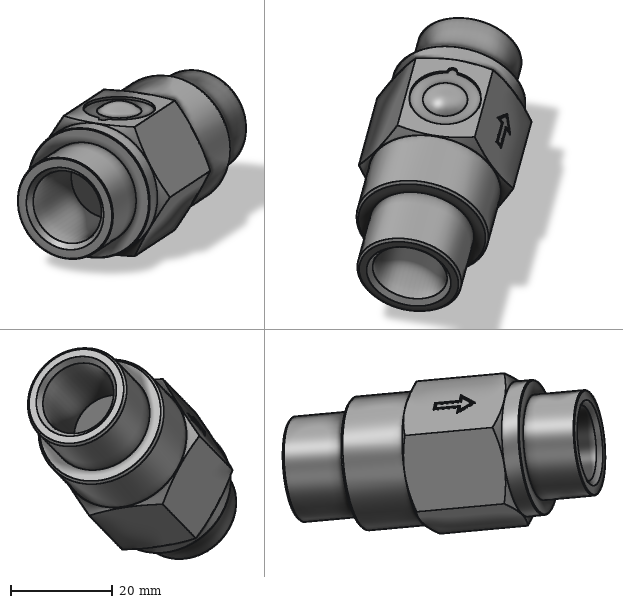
import cadquery as cq
import math

TOTAL_LENGTH = 60.5
FRONT_END = -TOTAL_LENGTH / 2
BACK_END = TOTAL_LENGTH / 2

COLLAR_FRONT = -19.7
HEX_FRONT = -16.2
HEX_BACK = 4.5
BODY_BACK = 17.25
HEX_MIDDLE = (HEX_FRONT + HEX_BACK) / 2

HEX_FLATS = 27.0
HALF_SECTOR = math.radians(360 / 6 / 2)
HEX_CORNERS = HEX_FLATS / math.cos(HALF_SECTOR)
HEX_END_DIAMETER = 26.75
HEX_CHAMFER_ANGLE = math.radians(30)
COLLAR_DIAMETER = 26.85
BODY_DIAMETER = 26.6
TUBE_DIAMETER = 21.0
FRONT_EDGE_CHAMFER = 0.2
BACK_EDGE_CHAMFER = 0.5

BORE_DIAMETER = 15.0
BORE_MOUTH_DIAMETER = 17.0
BORE_MOUTH_DEPTH = 1.0
BORE_DEPTH = 18.15

RECESS_DIAMETER = 14.15
RECESS_DEPTH = 0.55
NOTCH_RADIUS = 0.95
NOTCH_MOUTH_RADIUS = 0.25
DOME_DIAMETER = 8.85
DOME_RISE = 1.2

ARROW_LENGTH = 8.4
ARROW_HEAD_LENGTH = 3.3
ARROW_HEAD_WIDTH = 5.15
ARROW_SHAFT_WIDTH = 1.9
ARROW_LINE_WIDTH = 0.35
ARROW_DEPTH = 0.25


def cylinder_along_y(diameter, start, end):
    """Round bar on the flow axis between two Y stations."""
    bar = cq.Workplane("XZ", origin=(0, start, 0)).circle(diameter / 2)
    return bar.extrude(start - end)


def make_hexagon():
    """Hexagon with flats at top and bottom, its corners turned down by a cone at each end."""
    prism = cq.Workplane("XZ", origin=(0, HEX_FRONT, 0)).polygon(6, HEX_CORNERS)
    prism = prism.extrude(HEX_FRONT - HEX_BACK)

    end_radius = HEX_END_DIAMETER / 2
    rim_radius = HEX_CORNERS / 2
    rim_setback = (rim_radius - end_radius) * math.tan(HEX_CHAMFER_ANGLE)
    turned_blank = (
        cq.Workplane("XY")
        .moveTo(0, HEX_FRONT)
        .lineTo(end_radius, HEX_FRONT)
        .lineTo(rim_radius, HEX_FRONT + rim_setback)
        .lineTo(rim_radius, HEX_BACK - rim_setback)
        .lineTo(end_radius, HEX_BACK)
        .lineTo(0, HEX_BACK)
        .close()
        .revolve(360, (0, 0, 0), (0, 1, 0))
    )
    return prism.intersect(turned_blank)


def make_outside():
    """Hexagon, collar and body between the two tube ends."""
    tube = cylinder_along_y(TUBE_DIAMETER, FRONT_END, BACK_END)
    tube = tube.faces("<Y").chamfer(FRONT_EDGE_CHAMFER)
    tube = tube.faces(">Y").chamfer(BACK_EDGE_CHAMFER)
    collar = cylinder_along_y(COLLAR_DIAMETER, COLLAR_FRONT, HEX_MIDDLE)
    collar = collar.faces("<Y").chamfer(FRONT_EDGE_CHAMFER)
    body = cylinder_along_y(BODY_DIAMETER, HEX_MIDDLE, BODY_BACK)
    body = body.faces(">Y").chamfer(BACK_EDGE_CHAMFER)
    return make_hexagon().union(collar).union(body).union(tube)


def make_bore():
    """Blind bore of the front tube with its countersunk mouth."""
    return (
        cq.Workplane("XY")
        .moveTo(0, FRONT_END)
        .lineTo(BORE_MOUTH_DIAMETER / 2, FRONT_END)
        .lineTo(BORE_DIAMETER / 2, FRONT_END + BORE_MOUTH_DEPTH)
        .lineTo(BORE_DIAMETER / 2, FRONT_END + BORE_DEPTH)
        .lineTo(0, FRONT_END + BORE_DEPTH)
        .close()
        .revolve(360, (0, 0, 0), (0, 1, 0))
    )


def make_recess():
    """Round recess with a small notch on its front side."""
    floor = cq.Workplane("XY", origin=(0, HEX_MIDDLE, HEX_FLATS / 2 - RECESS_DEPTH))
    disc = floor.circle(RECESS_DIAMETER / 2).extrude(RECESS_DEPTH)
    notch = floor.center(0, -RECESS_DIAMETER / 2).circle(NOTCH_RADIUS).extrude(RECESS_DEPTH)
    recess = disc.union(notch)
    return recess.edges("|Z").edges("<Y").fillet(NOTCH_MOUTH_RADIUS)


def make_dome():
    """Spherical cap standing on the recess floor."""
    height = RECESS_DEPTH + DOME_RISE
    radius = DOME_DIAMETER / 2
    sphere_radius = (radius**2 + height**2) / (2 * height)
    floor_level = HEX_FLATS / 2 - RECESS_DEPTH
    sphere_centre = floor_level + height - sphere_radius
    sphere = cq.Workplane("XY", origin=(0, HEX_MIDDLE, sphere_centre)).sphere(sphere_radius)
    keep = cq.Workplane("XY", origin=(0, HEX_MIDDLE, floor_level - RECESS_DEPTH))
    keep = keep.circle(RECESS_DIAMETER / 2).extrude(RECESS_DEPTH + height)
    return sphere.intersect(keep)


def arrow_outline():
    """Closed arrow on the upper left flat, centred along the hexagon."""
    normal = (-math.cos(HALF_SECTOR), 0, math.sin(HALF_SECTOR))
    centre = (normal[0] * HEX_FLATS / 2, HEX_MIDDLE, normal[2] * HEX_FLATS / 2)
    flat = cq.Workplane(cq.Plane(origin=centre, xDir=(0, -1, 0), normal=normal))
    tip = ARROW_LENGTH / 2
    head_back = tip - ARROW_HEAD_LENGTH
    half_shaft = ARROW_SHAFT_WIDTH / 2
    half_head = ARROW_HEAD_WIDTH / 2
    return (
        flat.moveTo(-tip, -half_shaft)
        .lineTo(head_back, -half_shaft)
        .lineTo(head_back, -half_head)
        .lineTo(tip, 0)
        .lineTo(head_back, half_head)
        .lineTo(head_back, half_shaft)
        .lineTo(-tip, half_shaft)
        .close()
    )


def make_arrow_groove():
    """Groove that runs just inside the arrow outline, leaving an island in the middle."""
    arrow = arrow_outline().extrude(-ARROW_DEPTH)
    island_outline = arrow_outline().offset2D(-ARROW_LINE_WIDTH, "intersection")
    island = island_outline.extrude(-ARROW_DEPTH)
    return arrow.cut(island)


front_bore = make_bore()
back_bore = front_bore.mirror("XZ")

result = make_outside().cut(front_bore).cut(back_bore)
result = result.cut(make_recess()).union(make_dome())
result = result.cut(make_arrow_groove())